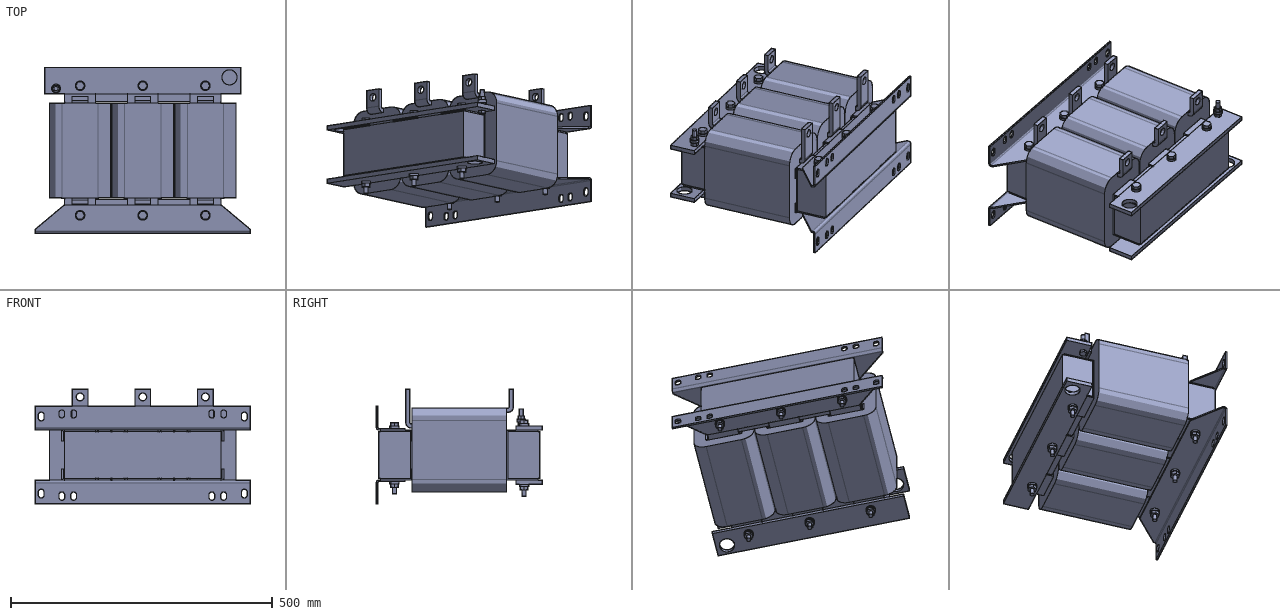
import cadquery as cq


leg_pitch = 120.0
leg_width = 59.5
yoke_overhang = 0.5
core_length = 2 * (leg_pitch + leg_width / 2 + yoke_overhang)
core_height = 90.0
core_front = 4.5
core_back = 313.5
yoke_depth = 61.0
phase_positions = [-leg_pitch, 0, leg_pitch]
core_top = core_height / 2
front_yoke_y = core_front + yoke_depth / 2
back_yoke_y = core_back - yoke_depth / 2

insulation_thickness = 3.0
insulation_setback = 3.7
clamp_z = core_top + insulation_thickness
channel_height = 20.5
channel_thickness = 3.5
channel_offset = 5.8
channel_overhang = 1.2

coil_width = 118.0
coil_top = 90.2
coil_bottom = -71.0
coil_front = 68.5
coil_back = 249.5
coil_radius = 24.5

rail_length = 412
rail_depth = 55.2
rail_end_depth = 8.2
rail_sheet = 3.5
rail_bend_radius = 5.5
flange_edge_z = 93.5
slot_width = 10.7
end_slot_x = 194.5
end_slot_z = 73.7
end_slot_height = 16.5
inner_slot_x = [132.3, 155.0]
inner_slot_z = 78.5
inner_slot_height = 15.2

bar_length = 375.7
bar_front = 267.5
bar_back = 318.0
bar_thickness = 8.2
bar_hole_diameter = 29.0
bar_hole_x = 166.0
bar_hole_y = 299.0

bolt_diameter = 8.0
washer_diameter = 18.0
washer_thickness = 4.0
hex_width = 15.0
head_height = 6.5
nut_height = 6.5
bolt_end = 12.5

stud_x = -bar_hole_x
stud_y = 277.5
stud_diameter = 8.2
stud_hex_width = 12.5
stud_washer_diameter = 17.0
stud_bottom = 43.0
stud_washer_bottom = 63.0
stud_washer_top = 69.0
stud_nut_top = 75.0
stud_top = 88.5

terminal_width = 30.5
terminal_thickness = 8.2
terminal_bend_radius = 10.7
terminal_top = 126.0
terminal_hole_diameter = 14.5
terminal_hole_z = 111.2
front_terminal_face = 56.5
front_terminal_base = 51.5
back_terminal_face = 263.0
back_terminal_base = 81.5


def block(x_range, y_range, z_range):
    """Box between pairs of limits along X, Y and Z."""
    size = [high - low for low, high in (x_range, y_range, z_range)]
    corner = (x_range[0], y_range[0], z_range[0])
    return cq.Workplane("XY").box(*size, centered=False).translate(corner)


def cylinder(x, y, z_range, diameter):
    """Upright cylinder."""
    height = z_range[1] - z_range[0]
    return cq.Workplane("XY", origin=(x, y, z_range[0])).circle(diameter / 2).extrude(height)


def hexagon(x, y, z_range, width):
    """Upright hexagonal prism of the given width across flats, with corners along Y."""
    height = z_range[1] - z_range[0]
    prism = cq.Workplane("XY").polygon(6, width, circumscribed=True).extrude(height)
    return prism.rotate((0, 0, 0), (0, 0, 1), 90).translate((x, y, z_range[0]))


def mirror_z(shape):
    """Copy of a shape reflected to the other side of the core's middle plane."""
    return shape.mirror("XY")


def make_core():
    """Two yokes joined by three legs set slightly in from the yoke ends."""
    yoke_x = (-core_length / 2, core_length / 2)
    core_z = (-core_top, core_top)
    core = block(yoke_x, (core_front, core_front + yoke_depth), core_z)
    core = core.union(block(yoke_x, (core_back - yoke_depth, core_back), core_z))
    for x in phase_positions:
        leg_x = (x - leg_width / 2, x + leg_width / 2)
        core = core.union(block(leg_x, (front_yoke_y, back_yoke_y), core_z))
    return core


def make_coil(x):
    """Winding block around one leg, rounded along its four long edges."""
    coil = block(
        (x - coil_width / 2, x + coil_width / 2), (coil_front, coil_back), (coil_bottom, coil_top)
    )
    return coil.edges("|Y").fillet(coil_radius)


def make_insulation(x):
    """Strips above and below one leg, and channels with short side walls around its corners.

    The channels run inside the coil and stand slightly proud of its front end.
    """
    strip = block(
        (x - leg_width / 2, x + leg_width / 2),
        (core_front + insulation_setback, core_back - insulation_setback),
        (core_top, clamp_z),
    )
    half_width = leg_width / 2 + channel_offset
    channel = block(
        (x - half_width, x + half_width),
        (coil_front - channel_overhang, coil_back),
        (clamp_z - channel_height, clamp_z),
    )
    channel = channel.edges("|Y and >Z").fillet(channel_thickness)
    inner = half_width - channel_thickness
    hollow = block((x - inner, x + inner), (core_front, core_back), (-core_top, core_top))
    upper = strip.union(channel.cut(hollow))
    return upper.union(mirror_z(upper))


def make_front_rail():
    """Upper front rail: web on the core, flange turned up at the front."""
    half = rail_length / 2
    angle = block((-half, half), (0, rail_depth), (clamp_z, flange_edge_z))
    angle = angle.edges("|X and <Y and <Z").fillet(rail_bend_radius)
    inside = block(
        (-half, half), (rail_sheet, rail_depth), (clamp_z + rail_sheet, flange_edge_z)
    )
    inside = inside.edges("|X and <Y and <Z").fillet(rail_bend_radius - rail_sheet)
    outline = (
        cq.Workplane("XY", origin=(0, 0, clamp_z))
        .polyline([
            (-half, 0),
            (half, 0),
            (half, rail_end_depth),
            (core_length / 2, rail_depth),
            (-core_length / 2, rail_depth),
            (-half, rail_end_depth),
        ])
        .close()
        .extrude(flange_edge_z - clamp_z)
    )
    rail = angle.cut(inside).intersect(outline)
    inner_slots = [(s * x, inner_slot_z) for x in inner_slot_x for s in (-1, 1)]
    end_slots = [(s * end_slot_x, end_slot_z) for s in (-1, 1)]
    for points, height in ((inner_slots, inner_slot_height), (end_slots, end_slot_height)):
        slots = (
            cq.Workplane("XZ")
            .pushPoints(points)
            .slot2D(height, slot_width, 90)
            .extrude(-rail_sheet)
        )
        rail = rail.cut(slots)
    return rail


def make_back_bar():
    """Upper rear bar, with its large hole at the +X end."""
    z_range = (clamp_z, clamp_z + bar_thickness)
    bar = block((-bar_length / 2, bar_length / 2), (bar_front, bar_back), z_range)
    return bar.cut(cylinder(bar_hole_x, bar_hole_y, z_range, bar_hole_diameter))


def make_bolt(x, y, grip_z):
    """Bolt through the core, clamping between -grip_z and +grip_z."""
    washer_z = grip_z + washer_thickness
    nut_z = washer_z + nut_height
    washer = cylinder(x, y, (grip_z, washer_z), washer_diameter)
    head = hexagon(x, y, (washer_z, washer_z + head_height), hex_width)
    nut = hexagon(x, y, (-nut_z, -washer_z), hex_width)
    shank = cylinder(x, y, (-nut_z - bolt_end, washer_z), bolt_diameter)
    return shank.union(washer).union(mirror_z(washer)).union(head).union(nut)


def make_earth_stud():
    """Stud through the upper rear bar, with stacked nuts and washers."""
    stud = cylinder(stud_x, stud_y, (stud_bottom, stud_top), stud_diameter)
    nuts = hexagon(stud_x, stud_y, (stud_bottom, stud_nut_top), stud_hex_width)
    washers = cylinder(
        stud_x, stud_y, (stud_washer_bottom, stud_washer_top), stud_washer_diameter
    )
    return stud.union(nuts).union(washers)


def make_terminal(x, coil_face, outer_face, base):
    """Bar leaving the coil end face along Y and turning up to the connection hole."""
    outward = 1 if outer_face > coil_face else -1
    inner_face = outer_face - outward * terminal_thickness
    x_range = (x - terminal_width / 2, x + terminal_width / 2)
    corner = "|X and <Z and " + (">Y" if outward > 0 else "<Y")
    bar = block(x_range, sorted((coil_face, outer_face)), (base, terminal_top))
    bar = bar.edges(corner).fillet(terminal_bend_radius)
    inside = block(
        x_range, sorted((coil_face, inner_face)), (base + terminal_thickness, terminal_top)
    )
    inside = inside.edges(corner).fillet(terminal_bend_radius - terminal_thickness)
    hole = (
        cq.Workplane("XZ", origin=(x, outer_face, terminal_hole_z))
        .circle(terminal_hole_diameter / 2)
        .extrude(terminal_thickness, both=True)
    )
    return bar.cut(inside).cut(hole)


front_rail = make_front_rail()
back_bar = make_back_bar()
lower_bar = back_bar.rotate((0, 0, 0), (0, 1, 0), 180)

result = make_core()
for rail in (front_rail, mirror_z(front_rail), back_bar, lower_bar):
    result = result.union(rail)
for phase_x in phase_positions:
    result = result.union(make_insulation(phase_x)).union(make_coil(phase_x))
    result = result.union(make_bolt(phase_x, front_yoke_y, clamp_z + rail_sheet))
    result = result.union(make_bolt(phase_x, back_yoke_y, clamp_z + bar_thickness))
    result = result.union(
        make_terminal(phase_x, coil_front, front_terminal_face, front_terminal_base)
    )
    result = result.union(
        make_terminal(phase_x, coil_back, back_terminal_face, back_terminal_base)
    )
result = result.union(make_earth_stud())